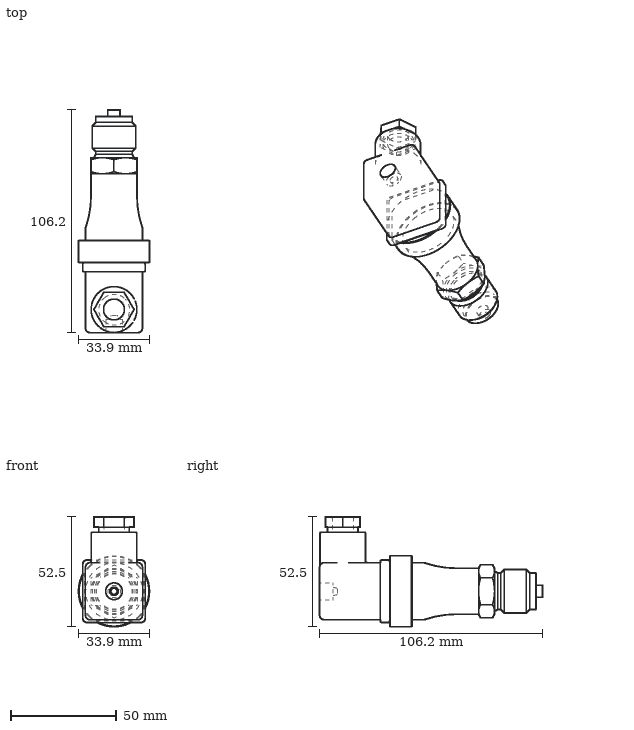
import cadquery as cq
import math


TOTAL_LENGTH = 106.2

HOUSING_SIZE = 27.2
HOUSING_FILLET = 2.2
FLANGE_SIZE = 30.0
FLANGE_CORNER = 2.3
FLANGE_FILLET = 0.8
FLANGE_FRONT_Y = 29.0

RING_FRONT_Y = 33.3
RING_BACK_Y = 44.1
RING_DIAMETER = 33.9
RING_CHAMFER = 0.3

BODY_DIAMETER = 27.2
BODY_SHOULDER_Y = 49.9
NECK_START_Y = 65.4
NECK_DIAMETER = 22.0

WRENCH_FRONT_Y = 75.7
WRENCH_BACK_Y = 83.4
WRENCH_FLATS = 22.0
WRENCH_BEVEL = 1.0

COLLAR_DIAMETER = 19.0
GROOVE_DIAMETER = 17.5
GROOVE_FRONT_Y = 85.0
GROOVE_BACK_Y = 86.3
THREAD_DIAMETER = 20.9
THREAD_FRONT_Y = 87.9
THREAD_BACK_Y = 98.5
NOSE_DIAMETER = GROOVE_DIAMETER
NOSE_START_Y = 100.1
NOSE_END_Y = 103.2
NOSE_CHAMFER = 0.3
PIN_DIAMETER = 6.0

GLAND_DIAMETER = 21.8
GLAND_TOP_Z = 28.1
GLAND_TOP_FILLET = 0.6
GLAND_BASE_FILLET = 0.8
FOOT_MARGIN = 0.2
GLAND_FRONT_GAP = 0.2
GLAND_Y = GLAND_DIAMETER / 2 + GLAND_FRONT_GAP
GLAND_NECK_DIAMETER = 14.7
NUT_BOTTOM_Z = 30.5
NUT_TOP_Z = 35.5
NUT_FLATS = 16.6
CABLE_HOLE_DIAMETER = 10.0
CABLE_HOLE_ROUNDING = 1.0

SCREW_HOLE_DIAMETER = 8.0
SCREW_HOLE_DEPTH = 6.4
SOCKET_DIAMETER = 4.0
SOCKET_FLOOR_DIAMETER = 3.0
SOCKET_DEPTH = 2.0


def corner_diameter(flats):
    """Across-corners size of a hexagon with the given size across flats."""
    return flats / math.cos(math.pi / 6)


def plane_at_y(y):
    """XZ plane at the given Y whose normal points along +Y."""
    return cq.Workplane(cq.Plane(origin=(0, y, 0), xDir=(1, 0, 0), normal=(0, 1, 0)))


def cylinder_y(diameter, start_y, end_y):
    return plane_at_y(start_y).circle(diameter / 2).extrude(end_y - start_y)


def revolve_y(profile):
    return profile.close().revolve(360, (0, 0, 0), (0, 1, 0))


def sensor_body():
    """Rear cylinder of the body, tapering through a concave arc into the neck."""
    body_radius = BODY_DIAMETER / 2
    neck_radius = NECK_DIAMETER / 2
    rise = body_radius - neck_radius
    run = NECK_START_Y - BODY_SHOULDER_Y
    arc_radius = (run**2 + rise**2) / (2 * rise)
    half_angle = math.asin(run / arc_radius) / 2
    middle_point = (
        neck_radius + arc_radius * (1 - math.cos(half_angle)),
        NECK_START_Y - arc_radius * math.sin(half_angle),
    )
    return revolve_y(
        cq.Workplane("XY")
        .moveTo(0, RING_BACK_Y)
        .lineTo(body_radius, RING_BACK_Y)
        .lineTo(body_radius, BODY_SHOULDER_Y)
        .threePointArc(middle_point, (neck_radius, NECK_START_Y))
        .lineTo(neck_radius, WRENCH_FRONT_Y)
        .lineTo(0, WRENCH_FRONT_Y)
    )


def union_ring():
    ring = cylinder_y(RING_DIAMETER, RING_FRONT_Y, RING_BACK_Y)
    return ring.edges().chamfer(RING_CHAMFER)


def wrench_hexagon():
    """Hexagon with corners up and down, turned to a bevel at both ends."""
    length = WRENCH_BACK_Y - WRENCH_FRONT_Y
    corners = corner_diameter(WRENCH_FLATS)
    prism = plane_at_y(WRENCH_FRONT_Y).polygon(6, corners).extrude(length)
    prism = prism.rotate((0, 0, 0), (0, 1, 0), 30)
    bevel_radial = (corners - WRENCH_FLATS) / 2
    turned = cylinder_y(corners, WRENCH_FRONT_Y, WRENCH_BACK_Y)
    turned = turned.faces("<Y or >Y").edges().chamfer(WRENCH_BEVEL, bevel_radial)
    return prism.intersect(turned)


def process_connection():
    """Undercut, threaded barrel, nose and centre pin."""
    groove_radius = GROOVE_DIAMETER / 2
    thread_radius = THREAD_DIAMETER / 2
    nose_radius = NOSE_DIAMETER / 2
    pin_radius = PIN_DIAMETER / 2
    return revolve_y(
        cq.Workplane("XY")
        .moveTo(0, WRENCH_BACK_Y)
        .lineTo(COLLAR_DIAMETER / 2, WRENCH_BACK_Y)
        .lineTo(groove_radius, GROOVE_FRONT_Y)
        .lineTo(groove_radius, GROOVE_BACK_Y)
        .lineTo(thread_radius, THREAD_FRONT_Y)
        .lineTo(thread_radius, THREAD_BACK_Y)
        .lineTo(nose_radius, NOSE_START_Y)
        .lineTo(nose_radius, NOSE_END_Y - NOSE_CHAMFER)
        .lineTo(nose_radius - NOSE_CHAMFER, NOSE_END_Y)
        .lineTo(pin_radius, NOSE_END_Y)
        .lineTo(pin_radius, TOTAL_LENGTH)
        .lineTo(0, TOTAL_LENGTH)
    )


def connector_flange():
    flange = plane_at_y(FLANGE_FRONT_Y).rect(FLANGE_SIZE, FLANGE_SIZE)
    flange = flange.extrude(RING_FRONT_Y - FLANGE_FRONT_Y).edges("|Y").fillet(FLANGE_CORNER)
    return flange.faces("<Y or >Y").edges().fillet(FLANGE_FILLET)


def connector_housing():
    housing = plane_at_y(0).rect(HOUSING_SIZE, HOUSING_SIZE)
    housing = housing.extrude(FLANGE_FRONT_Y)
    return housing.edges("|Y or <Y").fillet(HOUSING_FILLET)


def gland_barrel():
    barrel = cq.Workplane("XY").center(0, GLAND_Y).circle(GLAND_DIAMETER / 2).extrude(GLAND_TOP_Z)
    return barrel.faces(">Z").edges().fillet(GLAND_TOP_FILLET)


def connector_with_gland():
    """Housing and gland barrel, blended by a fillet around the foot of the barrel."""
    half_size = HOUSING_SIZE / 2
    connector = connector_housing().union(gland_barrel())
    foot_region = cq.selectors.BoxSelector(
        (-GLAND_DIAMETER / 4, 0, half_size - HOUSING_FILLET + FOOT_MARGIN),
        (GLAND_DIAMETER / 4, GLAND_DIAMETER, half_size + FOOT_MARGIN),
    )
    return connector.edges(foot_region).fillet(GLAND_BASE_FILLET)


def gland_nut():
    neck = (
        cq.Workplane("XY", origin=(0, GLAND_Y, GLAND_TOP_Z))
        .circle(GLAND_NECK_DIAMETER / 2)
        .extrude(NUT_BOTTOM_Z - GLAND_TOP_Z)
    )
    nut = (
        cq.Workplane("XY", origin=(0, GLAND_Y, NUT_BOTTOM_Z))
        .polygon(6, corner_diameter(NUT_FLATS))
        .extrude(NUT_TOP_Z - NUT_BOTTOM_Z)
    )
    return neck.union(nut)


def cable_hole():
    """Bore through the nut and its neck, with a rounded mouth."""
    radius = CABLE_HOLE_DIAMETER / 2
    mouth_radius = radius + CABLE_HOLE_ROUNDING
    offset = CABLE_HOLE_ROUNDING * (1 - math.sqrt(0.5))
    profile = (
        cq.Workplane("XZ", origin=(0, GLAND_Y, 0))
        .moveTo(0, GLAND_TOP_Z)
        .lineTo(radius, GLAND_TOP_Z)
        .lineTo(radius, NUT_TOP_Z - CABLE_HOLE_ROUNDING)
        .threePointArc((radius + offset, NUT_TOP_Z - offset), (mouth_radius, NUT_TOP_Z))
        .lineTo(0, NUT_TOP_Z)
        .close()
    )
    return profile.revolve(360, (0, 0, 0), (0, 1, 0))


def screw_hole():
    """Counterbore with a small tapered socket in its floor."""
    bore = cylinder_y(SCREW_HOLE_DIAMETER, 0, SCREW_HOLE_DEPTH)
    socket = (
        plane_at_y(SCREW_HOLE_DEPTH)
        .circle(SOCKET_DIAMETER / 2)
        .workplane(offset=SOCKET_DEPTH)
        .circle(SOCKET_FLOOR_DIAMETER / 2)
        .loft()
    )
    return bore.union(socket)


result = (
    connector_with_gland()
    .union(connector_flange())
    .union(union_ring())
    .union(sensor_body())
    .union(wrench_hexagon())
    .union(process_connection())
    .union(gland_nut())
    .cut(cable_hole())
    .cut(screw_hole())
)